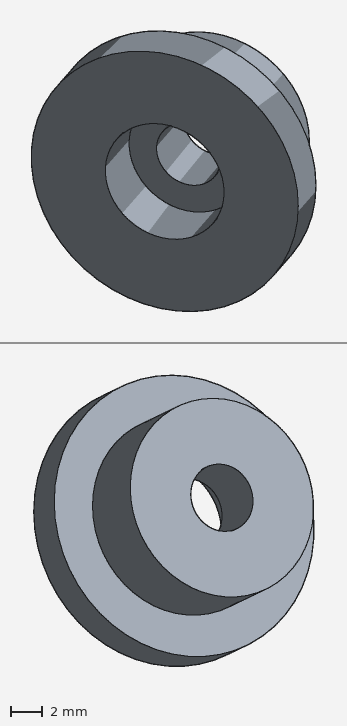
import cadquery as cq

flange_diameter = 18.0
flange_thickness = 3.0
boss_diameter = 12.7
overall_length = 8.5
bore_diameter = 4.3
counterbore_diameter = 8.0
counterbore_depth = 4.0


def cylinder_along_y(diameter, length):
    """Cylinder on the Y axis, from the flange face at Y = 0 toward +Y."""
    return cq.Workplane("XZ").circle(diameter / 2).extrude(-length)


flange = cylinder_along_y(flange_diameter, flange_thickness)
boss = cylinder_along_y(boss_diameter, overall_length)
body = flange.union(boss)

bore = cylinder_along_y(bore_diameter, overall_length)
counterbore = cylinder_along_y(counterbore_diameter, counterbore_depth)

result = body.cut(bore).cut(counterbore)